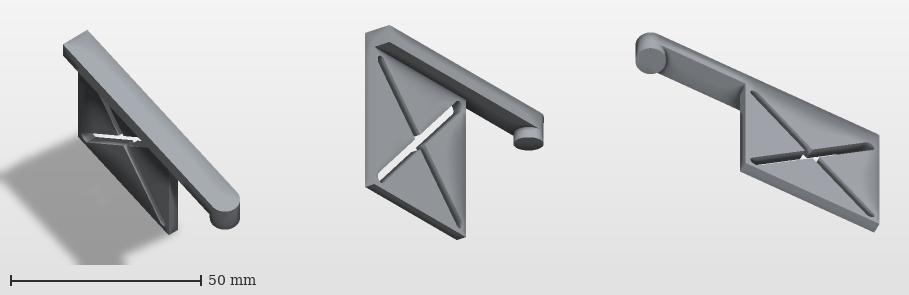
import cadquery as cq
import math

total_length = 70.0
total_height = 45.0
arm_width = 8.0
arm_height = 5.0
post_height = 8.0
plate_length = 40.0
plate_thickness = 3.0
slot_width = 3.0
slot_end_inset = 3.0

post_radius = arm_width / 2
post_x = total_length - post_radius
plate_height = total_height - arm_height
slot_span_x = plate_length - 2 * slot_end_inset
slot_span_z = plate_height - 2 * slot_end_inset
slot_length = math.hypot(slot_span_x, slot_span_z) + slot_width
slot_angle = math.degrees(math.atan2(slot_span_z, slot_span_x))


def make_arm():
    """Straight bar along the top, ending on the axis of the post."""
    return (
        cq.Workplane("XY", origin=(0, 0, plate_height))
        .box(post_x, arm_width, arm_height, centered=False)
    )


def make_post():
    """Round post that forms the arm's tip and reaches below the arm."""
    return (
        cq.Workplane("XY", origin=(post_x, post_radius, total_height - post_height))
        .circle(post_radius)
        .extrude(post_height)
    )


def make_plate():
    """Upright plate under the arm, flush with the arm's back face."""
    return (
        cq.Workplane("XY", origin=(0, arm_width - plate_thickness, 0))
        .box(plate_length, plate_thickness, plate_height, centered=False)
    )


def make_slot(angle):
    """Round-ended slot cutter through the plate, tilted about its centre."""
    return (
        cq.Workplane("XZ", origin=(plate_length / 2, arm_width, plate_height / 2))
        .slot2D(slot_length, slot_width, angle)
        .extrude(plate_thickness)
    )


result = make_arm().union(make_post()).union(make_plate())

for angle in (slot_angle, -slot_angle):
    result = result.cut(make_slot(angle))